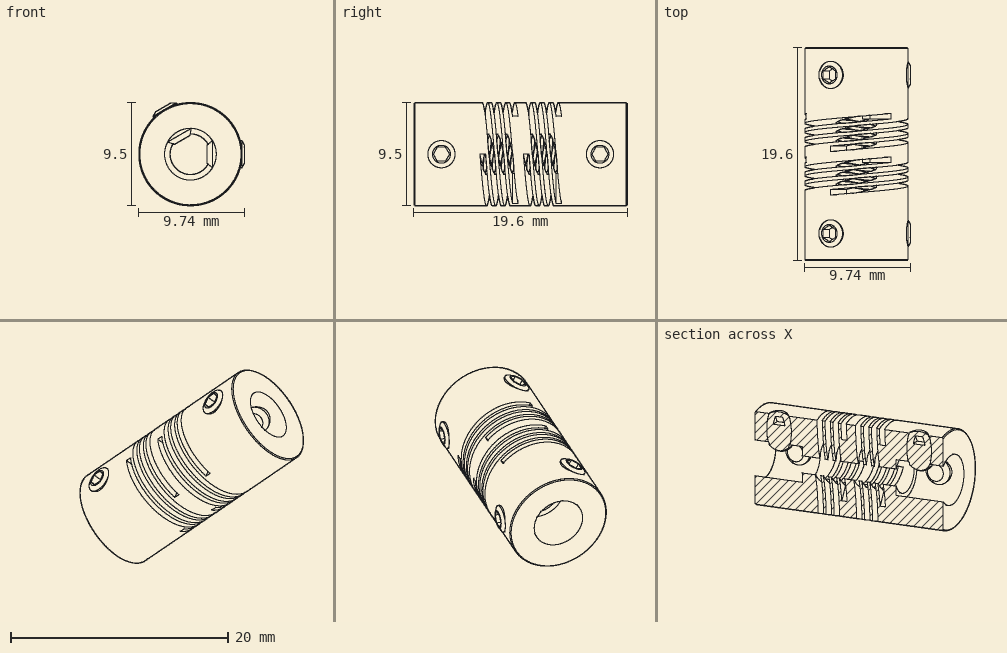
import cadquery as cq
import math

length = 19.6
outer_diameter = 9.5
outer_radius = outer_diameter / 2
rim_chamfer = 0.1
shaft_bore_diameter = 4.76
shaft_bore_depth = 4.9
relief_bore_diameter = 3.72

slit_starts = 3
slit_width = 0.5
slit_turns = 1.2
slit_drop = 3.0
slit_lead = slit_drop / slit_turns
slit_first_angle = 48.0
slit_zone_gap = 1.0
slit_zone_tops = [slit_zone_gap / 2 + slit_drop, -slit_zone_gap / 2]
slit_overcut = 0.4

screw_diameter = 2.5
screw_radius = screw_diameter / 2
screw_angles = [0.0, 120.0]
screw_end_distance = 2.5
screw_places = [length / 2 - screw_end_distance, screw_end_distance - length / 2]
screw_protrusion = 0.24
screw_head_reach = outer_radius + screw_protrusion
screw_point_reach = 1.5
screw_end_radius = 0.82
screw_head_slope = 30.0
screw_head_chamfer = (screw_radius - screw_end_radius) * math.tan(math.radians(screw_head_slope))
screw_point_chamfer = 0.5
socket_sides = 6
socket_across_flats = 1.3
socket_corner_diameter = socket_across_flats / math.cos(math.pi / socket_sides)
socket_depth = 1.14


def cylinder_along_y(diameter, start, height):
    """Cylinder on the Y axis, from y = start towards +Y."""
    return cq.Workplane("XZ", origin=(0, start, 0)).circle(diameter / 2).extrude(-height)


def place_radially(part, angle, y):
    """Turn a part lying along +X to an angle around Y, then slide it to y."""
    return part.rotate((0, 0, 0), (0, 1, 0), -angle).translate((0, y, 0))


def helical_slit():
    """Cutter whose radial section winds around Y, moving towards -Y as it turns."""
    inner = relief_bore_diameter / 2 - slit_overcut
    outer = outer_radius + slit_overcut
    middle = (inner + outer) / 2
    path = cq.Wire.makeHelix(slit_lead, slit_drop, middle)
    section = cq.Workplane("XZ").center(middle, 0).rect(outer - inner, slit_width)
    slit = section.sweep(cq.Workplane(path), isFrenet=True)
    return slit.rotate((0, 0, 0), (1, 0, 0), 90)


def make_body():
    body = cylinder_along_y(outer_diameter, -length / 2, length).edges().chamfer(rim_chamfer)
    body = body.cut(cylinder_along_y(relief_bore_diameter, -length / 2, length))
    for start in (-length / 2, length / 2 - shaft_bore_depth):
        body = body.cut(cylinder_along_y(shaft_bore_diameter, start, shaft_bore_depth))

    screw_hole = cq.Workplane("YZ").circle(screw_radius).extrude(screw_head_reach)
    for y in screw_places:
        for angle in screw_angles:
            body = body.cut(place_radially(screw_hole, angle, y))

    slit = helical_slit()
    for y in slit_zone_tops:
        for start in range(slit_starts):
            angle = slit_first_angle + start * 360 / slit_starts
            body = body.cut(place_radially(slit, angle, y))
    return body


def make_screw():
    """Set screw lying along +X, with both ends chamfered and a hexagon socket."""
    profile = [
        (screw_point_reach, 0),
        (screw_point_reach, screw_end_radius),
        (screw_point_reach + screw_point_chamfer, screw_radius),
        (screw_head_reach - screw_head_chamfer, screw_radius),
        (screw_head_reach, screw_end_radius),
        (screw_head_reach, 0),
    ]
    screw = cq.Workplane("XY").polyline(profile).close().revolve(360, (0, 0, 0), (1, 0, 0))
    socket = (
        cq.Workplane("YZ", origin=(screw_head_reach, 0, 0))
        .polygon(socket_sides, socket_corner_diameter)
        .extrude(-socket_depth)
    )
    return screw.cut(socket)


body = make_body()
screws = [place_radially(make_screw(), angle, y) for y in screw_places for angle in screw_angles]

result = cq.Compound.makeCompound([body.val(), *[screw.val() for screw in screws]])